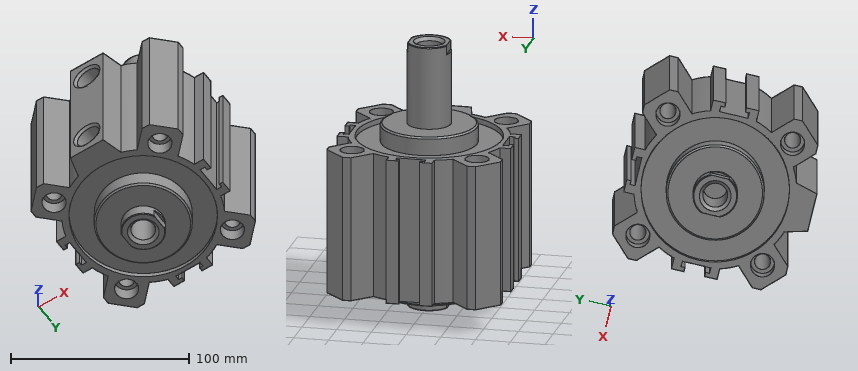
import cadquery as cq
import math


BARREL_HEIGHT = 84.3
BARREL_DIAMETER = 91.3
OVERALL_WIDTH = 100.0
OVERALL_DEPTH = 106.0
HALF_SPAN = OVERALL_WIDTH / 2

ARM_WIDTH = 23.4
ARM_REACH = 62.5
MOUNT_OFFSET = 36.0
MOUNT_HOLE_DIAMETER = 9.0
MOUNT_BORE_DIAMETER = 13.5
MOUNT_BORE_DEPTH = 8.7

RAIL_WIDTH = 26.4
SLOT_OPENING = 12.0
SLOT_WIDTH = 16.5
SLOT_FLOOR = 44.3
LIP_THICKNESS = 2.5
BACK_RAIL_REACH = 49.6

PORT_BLOCK_REACH = OVERALL_DEPTH - HALF_SPAN
PORT_BLOCK_FACE_WIDTH = 22.2
PORT_BLOCK_SLOPE = 15.0
PORT_BLOCK_ROOT = 40.3
PORT_DIAMETER = 14.9
PORT_MOUTH_DIAMETER = 17.8
PORT_DEPTH = 14.0
PORT_END_OFFSET = 13.8

RECESS_DIAMETER = 83.2
RECESS_DEPTH = 3.1
BOSS_DIAMETER = 55.0
BOSS_HEIGHT = 7.6
BOSS_CHAMFER = 1.0

ROD_DIAMETER = 25.0
ROD_LENGTH = 155.0
ROD_BOTTOM_REACH = 7.6
ROD_CHAMFER = 0.5
FLAT_SPACING = 22.3
FLAT_LENGTH = 5.5
ROD_HOLE_DIAMETER = 13.8
ROD_HOLE_MOUTH_DIAMETER = 17.7
ROD_HOLE_DEPTH = 23.2

ROD_BOTTOM = -BOSS_HEIGHT - ROD_BOTTOM_REACH
ROD_TOP = ROD_BOTTOM + ROD_LENGTH


def countersunk_tool(diameter, mouth_diameter, depth):
    """Blind hole cutter from the origin along +Z, with a 45 degree mouth at the origin."""
    radius = diameter / 2
    mouth_radius = mouth_diameter / 2
    return (
        cq.Workplane("XZ")
        .polyline([
            (0, 0),
            (mouth_radius, 0),
            (radius, mouth_radius - radius),
            (radius, depth),
            (0, depth),
        ])
        .close()
        .revolve(360, (0, 0), (0, 1))
    )


def arms():
    """Four diagonal arms, trimmed square at the overall span."""
    bar = cq.Workplane().rect(2 * ARM_REACH, ARM_WIDTH).extrude(BARREL_HEIGHT)
    cross = bar.rotate((0, 0, 0), (0, 0, 1), 45).union(bar.rotate((0, 0, 0), (0, 0, 1), -45))
    span = cq.Workplane().rect(OVERALL_WIDTH, OVERALL_WIDTH).extrude(BARREL_HEIGHT)
    return cross.intersect(span)


def rail(reach):
    """Solid rail along +X, running from the axis out to its reach."""
    return (
        cq.Workplane()
        .center(reach / 2, 0)
        .rect(reach, RAIL_WIDTH)
        .extrude(BARREL_HEIGHT)
    )


def rail_slot(reach):
    """Cutter for the T-slot of a rail along +X."""
    lip_back = reach - LIP_THICKNESS
    half_opening = SLOT_OPENING / 2
    half_slot = SLOT_WIDTH / 2
    return (
        cq.Workplane()
        .polyline([
            (reach, -half_opening),
            (reach, half_opening),
            (lip_back, half_opening),
            (lip_back, half_slot),
            (SLOT_FLOOR, half_slot),
            (SLOT_FLOOR, -half_slot),
            (lip_back, -half_slot),
            (lip_back, -half_opening),
        ])
        .close()
        .extrude(BARREL_HEIGHT)
    )


def port_block():
    """Tapered block on -Y that carries the ports."""
    face = PORT_BLOCK_FACE_WIDTH / 2
    flare = (PORT_BLOCK_REACH - PORT_BLOCK_ROOT) * math.tan(math.radians(PORT_BLOCK_SLOPE))
    root = face + flare
    return (
        cq.Workplane()
        .polyline([
            (-face, -PORT_BLOCK_REACH),
            (face, -PORT_BLOCK_REACH),
            (root, -PORT_BLOCK_ROOT),
            (-root, -PORT_BLOCK_ROOT),
        ])
        .close()
        .extrude(BARREL_HEIGHT)
    )


def bosses():
    """Chamfered boss on each end cover, made as one core running through the barrel."""
    return (
        cq.Workplane(origin=(0, 0, -BOSS_HEIGHT))
        .circle(BOSS_DIAMETER / 2)
        .extrude(BARREL_HEIGHT + 2 * BOSS_HEIGHT)
        .faces("<Z or >Z")
        .chamfer(BOSS_CHAMFER)
    )


def end_recess(bottom):
    """Cutter for a shallow round recess whose lower face lies at the given height."""
    return cq.Workplane(origin=(0, 0, bottom)).circle(RECESS_DIAMETER / 2).extrude(RECESS_DEPTH)


def mount_cylinders(diameter, bottom, length):
    """Four equal upright cylinders at the mounting hole positions."""
    return (
        cq.Workplane(origin=(0, 0, bottom))
        .rect(2 * MOUNT_OFFSET, 2 * MOUNT_OFFSET, forConstruction=True)
        .vertices()
        .circle(diameter / 2)
        .extrude(length)
    )


def make_housing():
    """Barrel with arms, rails, port block and end covers, bored for the rod."""
    rail_places = [(0, HALF_SPAN), (90, BACK_RAIL_REACH), (180, HALF_SPAN)]

    body = cq.Workplane().circle(BARREL_DIAMETER / 2).extrude(BARREL_HEIGHT)
    body = body.union(arms()).union(port_block())
    for angle, reach in rail_places:
        body = body.union(rail(reach).rotate((0, 0, 0), (0, 0, 1), angle))
    for angle, reach in rail_places:
        body = body.cut(rail_slot(reach).rotate((0, 0, 0), (0, 0, 1), angle))

    body = body.cut(mount_cylinders(MOUNT_HOLE_DIAMETER, 0, BARREL_HEIGHT))
    for bottom in (0, BARREL_HEIGHT - MOUNT_BORE_DEPTH):
        body = body.cut(mount_cylinders(MOUNT_BORE_DIAMETER, bottom, MOUNT_BORE_DEPTH))

    for bottom in (0, BARREL_HEIGHT - RECESS_DEPTH):
        body = body.cut(end_recess(bottom))
    body = body.union(bosses())

    port = countersunk_tool(PORT_DIAMETER, PORT_MOUTH_DIAMETER, PORT_DEPTH)
    port = port.rotate((0, 0, 0), (1, 0, 0), -90)
    for height in (PORT_END_OFFSET, BARREL_HEIGHT - PORT_END_OFFSET):
        body = body.cut(port.translate((0, -PORT_BLOCK_REACH, height)))

    rod_bore = cq.Workplane(origin=(0, 0, ROD_BOTTOM)).circle(ROD_DIAMETER / 2).extrude(ROD_LENGTH)
    return body.cut(rod_bore)


def make_rod():
    """Through rod with wrench flats and a countersunk hole at each end."""
    rod = (
        cq.Workplane(origin=(0, 0, ROD_BOTTOM))
        .circle(ROD_DIAMETER / 2)
        .extrude(ROD_LENGTH)
        .faces("<Z or >Z")
        .chamfer(ROD_CHAMFER)
    )

    for bottom in (ROD_BOTTOM, ROD_TOP - FLAT_LENGTH):
        for side in (-1, 1):
            flat = (
                cq.Workplane(origin=(side * (FLAT_SPACING + ROD_DIAMETER) / 2, 0, bottom))
                .rect(ROD_DIAMETER, ROD_DIAMETER)
                .extrude(FLAT_LENGTH)
            )
            rod = rod.cut(flat)

    hole = countersunk_tool(ROD_HOLE_DIAMETER, ROD_HOLE_MOUTH_DIAMETER, ROD_HOLE_DEPTH)
    lower_hole = hole.translate((0, 0, ROD_BOTTOM))
    upper_hole = hole.mirror("XY").translate((0, 0, ROD_TOP))
    return rod.cut(lower_hole).cut(upper_hole)


housing = make_housing()
rod = make_rod()

result = cq.Compound.makeCompound([housing.solids().val(), rod.solids().val()])